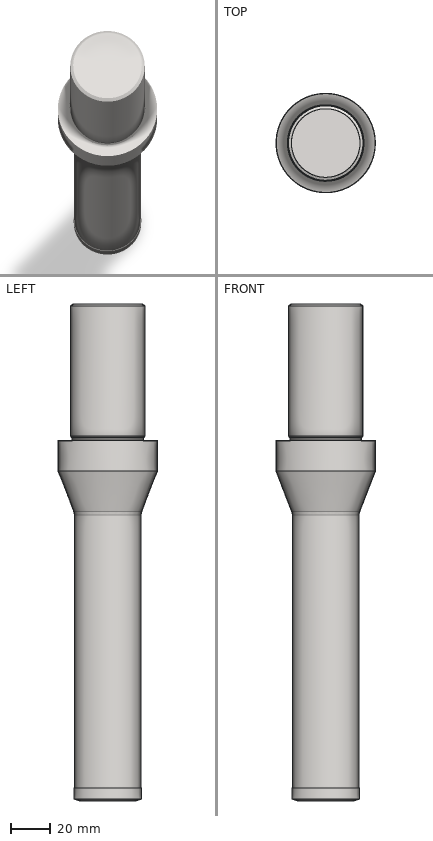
import cadquery as cq

total_length = 254.5
collar_radius = 25.5

shank_radius = 19.0
shank_end_chamfer_height = 1.0
shank_end_chamfer_width = 1.5
relief_radius = 18.3
relief_chamfer = shank_radius - relief_radius
relief_height = 1.5

collar_top = 184.5
collar_bottom = 169.0
recess_radius = 19.5
recess_depth = 0.8
cone_bottom = 147.4
cone_foot_radius = 4.5

stem_radius = 17.0
tip_radius = 17.3
tip_length = 6.5
tip_chamfer_width = 3.5
tip_chamfer_height = 1.0


def make_holder():
    """Shank, collar, cone and stem turned about Z, resting on the tip."""
    relief_top = collar_top + relief_height
    profile = (
        cq.Workplane("XZ")
        .moveTo(0, tip_length)
        .lineTo(stem_radius, tip_length)
        .lineTo(stem_radius, cone_bottom)
        .lineTo(collar_radius, collar_bottom)
        .lineTo(collar_radius, collar_top)
        .lineTo(recess_radius, collar_top)
        .lineTo(recess_radius, collar_top - recess_depth)
        .lineTo(relief_radius, collar_top - recess_depth)
        .lineTo(relief_radius, relief_top)
        .lineTo(shank_radius, relief_top + relief_chamfer)
        .lineTo(shank_radius, total_length)
        .lineTo(0, total_length)
        .close()
    )
    holder = profile.revolve(360, (0, 0, 0), (0, 1, 0))
    holder = holder.faces(">Z").edges().chamfer(shank_end_chamfer_height, shank_end_chamfer_width)
    cone_foot = cq.selectors.NearestToPointSelector((0, 0, cone_bottom))
    return holder.edges("%CIRCLE").edges(cone_foot).fillet(cone_foot_radius)


def make_tip():
    """Short disc closing the lower end, with a flat chamfer underneath."""
    tip = cq.Workplane("XY").circle(tip_radius).extrude(tip_length)
    return tip.faces("<Z").edges().chamfer(tip_chamfer_height, tip_chamfer_width)


holder = make_holder()
tip = make_tip()

result = cq.Compound.makeCompound([holder.val(), tip.val()])